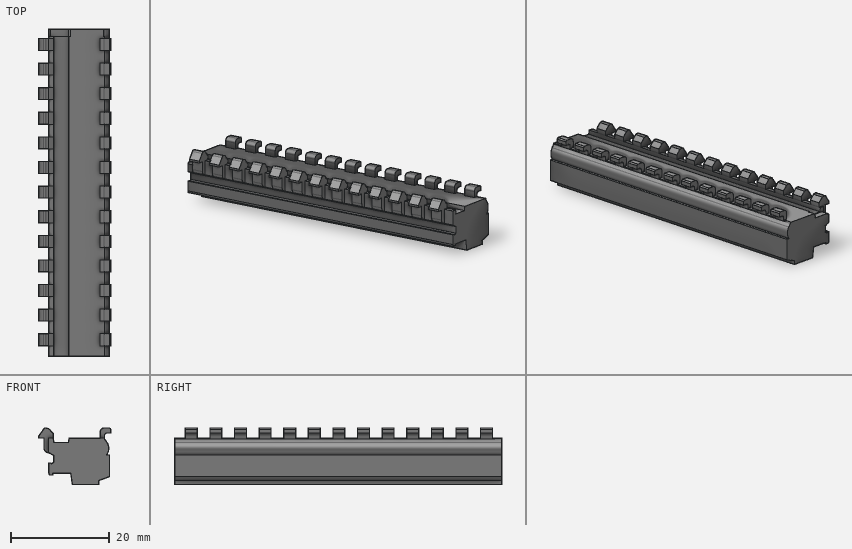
import cadquery as cq


total_length = 66.5
front_y = -total_length / 2
back_y = total_length / 2

top_z = 9.45
channel_z = 8.6
channel_left = 0.9
channel_right = 4.0
channel_draft = 0.1
foot_left = 4.8
foot_right = 10.2
foot_side_z = 0.8
foot_shoulder_x = 4.45
lip_under_z = 2.25
lip_bottom_z = 1.9
lip_inner_x = 0.85
lip_bevel_z = 2.3
lip_bevel = 0.1
groove_bottom_z = 4.4
groove_top_z = 5.9
groove_depth = 1.0
groove_dip_start = 0.4
groove_dip_x = 0.6
groove_dip_depth = 0.1
left_wall_z = 6.45
right_wall = 12.4
right_wall_bottom_z = 1.6
right_wall_top_z = 6.05
notch_x = 11.8
shoulder_top_z = 9.25
shoulder_x = 11.85
shoulder_z = 8.6
top_right_x = 11.4

end_length = 1.5
end_bevel_width = 0.4
end_bevel_z = 8.05
end_floor_z = 8.45
end_step_bevel_width = 0.4
end_step_bevel_height = 0.45
end_right_bevel_x = 11.2

hook_count = 13
hook_width = 2.45
hook_row_span = 60.0
hook_back_margin = 3.1
hook_pitch = hook_row_span / (hook_count - 1)
hook_top_z = 11.5

stem_left = -1.0
stem_straight_z = 7.4
head_left = -2.05
head_left_z = 9.85
head_shoulder_x = -1.05
head_shoulder_z = 11.25
head_shoulder_radius = 0.4
head_flat_left = -0.65
head_flat_right = -0.5
head_ridge_z = 11.4
head_right_z = 10.4
stem_bend_x = -0.7
stem_bend_z = 6.8

post_left = 10.45
post_right = top_right_x
post_bend_radius = 0.8
finger_tip = 12.65
finger_under_z = 10.45
finger_bevel = 0.25
finger_inner_radius = 0.4


def extrude_along_y(profile, y_start, length):
    """Extrude a closed XZ outline from y_start towards +Y."""
    return profile.extrude(-length).translate((0, y_start, 0))


def section(x, z):
    return cq.Workplane("XZ").moveTo(x, z)


def make_housing():
    profile = (
        section(0, left_wall_z)
        .lineTo(0, top_z)
        .lineTo(channel_left, top_z)
        .lineTo(channel_left + channel_draft, channel_z)
        .lineTo(channel_right, channel_z)
        .lineTo(channel_right + channel_draft, top_z)
        .lineTo(top_right_x, top_z)
        .lineTo(top_right_x, shoulder_top_z)
        .lineTo(shoulder_x, shoulder_z)
        .tangentArcPoint((notch_x, right_wall_top_z), relative=False)
        .lineTo(right_wall, right_wall_top_z)
        .lineTo(right_wall, right_wall_bottom_z)
        .lineTo(foot_right, foot_side_z)
        .lineTo(foot_right, 0)
        .lineTo(foot_left, 0)
        .lineTo(foot_shoulder_x, lip_under_z)
        .lineTo(lip_inner_x, lip_under_z)
        .lineTo(lip_inner_x, lip_bottom_z)
        .lineTo(lip_bevel, lip_bottom_z)
        .lineTo(0, lip_bevel_z)
        .lineTo(0, groove_bottom_z)
        .lineTo(groove_dip_start, groove_bottom_z)
        .lineTo(groove_dip_x, groove_bottom_z - groove_dip_depth)
        .lineTo(groove_depth, groove_bottom_z + groove_dip_depth)
        .lineTo(groove_depth, groove_top_z)
        .close()
    )
    return extrude_along_y(profile, front_y, total_length)


def make_end_relief():
    """Material removed from the top of the back end."""
    left = (
        section(0, end_bevel_z)
        .lineTo(end_bevel_width, end_floor_z)
        .lineTo(channel_right, end_floor_z)
        .lineTo(channel_right, top_z - end_step_bevel_height)
        .lineTo(channel_right + end_step_bevel_width, top_z)
        .lineTo(0, top_z)
        .close()
    )
    right = (
        section(end_right_bevel_x, top_z)
        .lineTo(top_right_x, top_z)
        .lineTo(top_right_x, shoulder_top_z)
        .close()
    )
    start = back_y - end_length
    return extrude_along_y(left, start, end_length).union(extrude_along_y(right, start, end_length))


def make_left_hook():
    profile = (
        section(0, left_wall_z)
        .threePointArc((stem_bend_x, stem_bend_z), (stem_left, stem_straight_z))
        .lineTo(stem_left, top_z)
        .lineTo(head_left, top_z)
        .lineTo(head_left, head_left_z)
        .lineTo(head_shoulder_x, head_shoulder_z)
        .radiusArc((head_flat_left, hook_top_z), head_shoulder_radius)
        .lineTo(head_flat_right, hook_top_z)
        .lineTo(0, head_ridge_z)
        .lineTo(channel_left, head_right_z)
        .lineTo(channel_left, top_z)
        .lineTo(0, top_z)
        .close()
    )
    return extrude_along_y(profile, -hook_width / 2, hook_width)


def make_right_hook():
    profile = (
        section(post_left, top_z)
        .lineTo(post_left, hook_top_z - post_bend_radius)
        .radiusArc((post_left + post_bend_radius, hook_top_z), post_bend_radius)
        .lineTo(finger_tip - finger_bevel, hook_top_z)
        .lineTo(finger_tip, hook_top_z - finger_bevel)
        .lineTo(finger_tip, finger_under_z)
        .lineTo(post_right + finger_inner_radius, finger_under_z)
        .radiusArc((post_right, finger_under_z - finger_inner_radius), -finger_inner_radius)
        .lineTo(post_right, top_z)
        .close()
    )
    return extrude_along_y(profile, -hook_width / 2, hook_width)


housing = make_housing().cut(make_end_relief())

left_hook = make_left_hook()
right_hook = make_right_hook()
result = housing
for index in range(hook_count):
    hook_y = back_y - hook_back_margin - index * hook_pitch
    for hook in (left_hook, right_hook):
        result = result.union(hook.translate((0, hook_y, 0)))